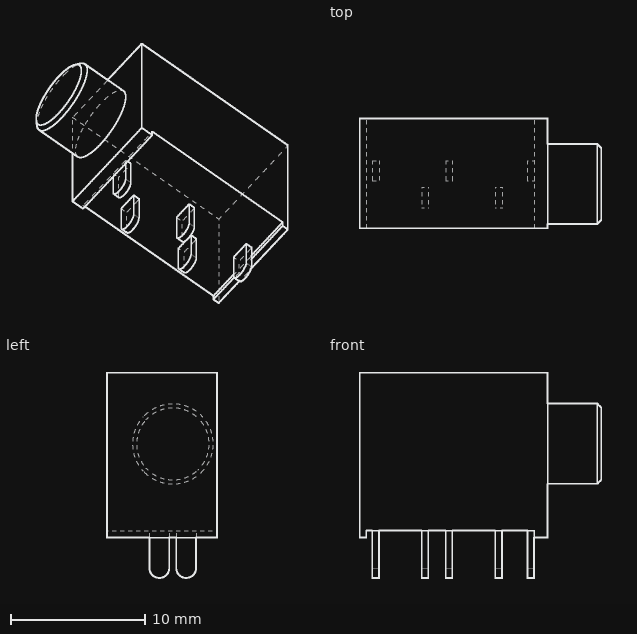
import cadquery as cq

total_length = 18.0
total_height = 15.3
housing_length = 14.0
housing_width = 8.2
pin_reach = 3.0
housing_height = total_height - pin_reach

rear_foot_length = 0.5
front_foot_length = 1.0
foot_height = 0.52

barrel_diameter = 6.0
barrel_length = total_length - housing_length
barrel_chamfer = 0.3
barrel_y = -0.8
barrel_z = 7.0

pin_thickness = 0.5
pin_width = 1.5
center_row_y = 0.2
side_row_y = -1.8
pin_positions = [
    (0.94, center_row_y),
    (4.6, side_row_y),
    (6.4, center_row_y),
    (10.1, side_row_y),
    (12.5, center_row_y),
]


def make_housing():
    """Box with a slotted underside and a chamfered barrel."""
    block = cq.Workplane("XY").box(
        housing_length, housing_width, housing_height, centered=(False, True, False)
    )
    slot_length = housing_length - rear_foot_length - front_foot_length
    slot = (
        cq.Workplane("XY")
        .box(slot_length, housing_width, foot_height, centered=(False, True, False))
        .translate((rear_foot_length, 0, 0))
    )
    barrel = (
        cq.Workplane("YZ", origin=(housing_length, barrel_y, barrel_z))
        .circle(barrel_diameter / 2)
        .extrude(barrel_length)
        .faces(">X")
        .chamfer(barrel_chamfer)
    )
    return block.cut(slot).union(barrel)


def make_pin(rear_x, center_y):
    """Flat pin hanging from the roof of the slot, with a half-round tip."""
    half_width = pin_width / 2
    tip_z = -pin_reach
    tip_start_z = tip_z + half_width
    return (
        cq.Workplane("YZ", origin=(rear_x, center_y, 0))
        .moveTo(-half_width, foot_height)
        .lineTo(-half_width, tip_start_z)
        .threePointArc((0, tip_z), (half_width, tip_start_z))
        .lineTo(half_width, foot_height)
        .close()
        .extrude(pin_thickness)
    )


housing = make_housing()
pins = [make_pin(rear_x, center_y) for rear_x, center_y in pin_positions]

result = cq.Compound.makeCompound([housing.val(), *[pin.val() for pin in pins]])